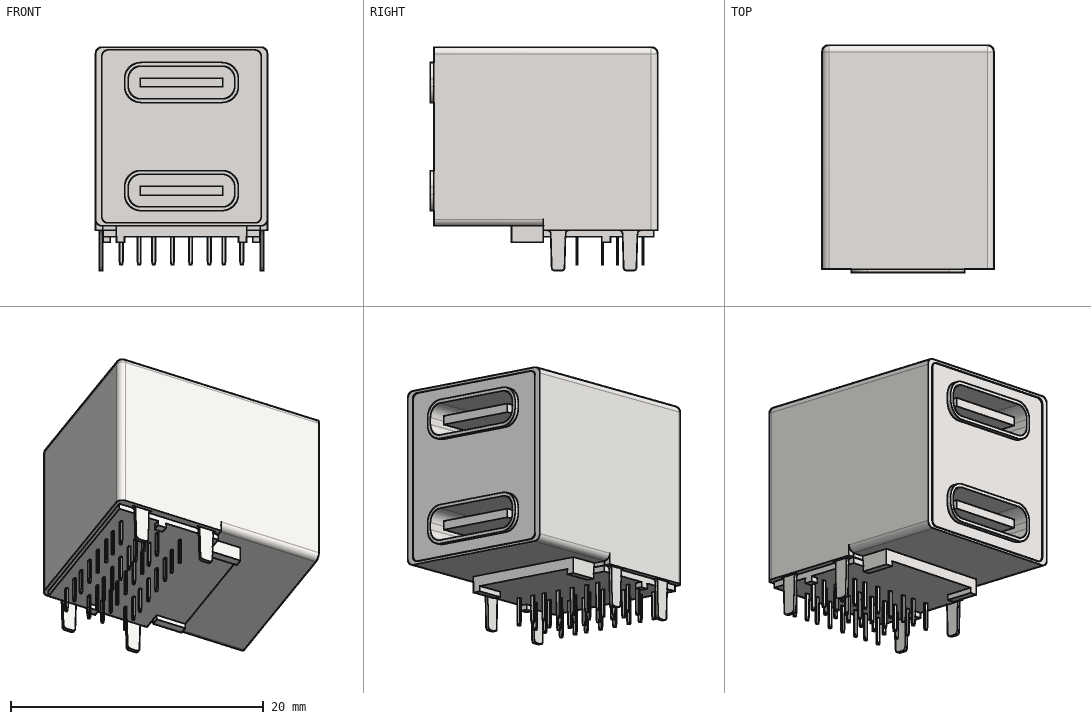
import cadquery as cq
import math


total_length = 18.0
port_lip = 0.29
shell_width = 13.6
shell_length = total_length - port_lip
shell_top = 15.45
shell_front_bottom = 1.3
shell_rear_bottom = 0.94
rear_drop_start = 8.65
shell_radius = 0.54
rear_wall_half = 6.23
rear_wall_recess = 0.07

panel_side_rim = 0.5
panel_end_rim = 0.23
panel_recess = 0.09
panel_radius = 0.49

port_pitch = 8.55
upper_port_z = 12.64
port_centers = [upper_port_z, upper_port_z - port_pitch]
port_width = 9.0
port_height = 3.17
port_radius = 1.3
port_wall = 0.29
cavity_depth = 5.94
tongue_width = 6.55
tongue_height = 0.7
tongue_front = 0.23

plate_bottom = 0.43
plate_rear_gap = 0.3
front_foot_start = 6.14
front_block_half = 5.15
front_foot_width = 0.65
side_foot_width = 0.61
side_foot_length = 0.72
side_foot_rear = shell_length - 3.73

leg_outer_half = 6.5
leg_thickness = 0.25
leg_bottom = -2.25
leg_top_width = 1.19
leg_tip_width = 1.03
leg_flare_radius = 0.23
leg_tip_radius = 0.27
leg_centers = [shell_length - 2.2, shell_length - 7.88]

pin_bottom = -1.78
pin_width = 0.29
pin_thickness = 0.15
pin_tip_width = 0.18
pin_tip_height = 0.29
pin_columns = [0.72, 2.2, 3.35, 4.77]
pin_rows = [shell_length - distance for distance in (1.17, 3.19, 4.37, 6.39)]


def box(x_range, y_range, z_range):
    """Box spanning the given (low, high) ranges."""
    lows, highs = zip(x_range, y_range, z_range)
    sizes = [high - low for low, high in zip(lows, highs)]
    return cq.Workplane("XY").box(*sizes, centered=False).translate(lows)


def rounded_bar(width, height, radius, y_range, z_center):
    """Bar along Y with a rounded rectangular section, centred on X = 0."""
    y_low, y_high = y_range
    bar = cq.Workplane("XY").box(width, y_high - y_low, height).edges("|Y").fillet(radius)
    return bar.translate((0, (y_low + y_high) / 2, z_center))


def make_shell():
    half = shell_width / 2
    front = box((-half, half), (0, rear_drop_start), (shell_front_bottom, shell_top))
    front = front.edges("|Y").fillet(shell_radius)
    rear = box((-half, half), (rear_drop_start, shell_length), (shell_rear_bottom, shell_top))
    rear = rear.edges(">Z and |Y").fillet(shell_radius)
    rear = rear.edges(">Y").edges("not <Z").fillet(shell_radius)

    wall_recess = box(
        (-rear_wall_half, rear_wall_half),
        (rear_drop_start, rear_drop_start + rear_wall_recess),
        (shell_rear_bottom, shell_front_bottom),
    )
    shell = front.union(rear).cut(wall_recess)

    panel_height = shell_top - shell_front_bottom - 2 * panel_end_rim
    panel = rounded_bar(
        shell_width - 2 * panel_side_rim,
        panel_height,
        panel_radius,
        (0, panel_recess),
        (shell_top + shell_front_bottom) / 2,
    )
    return shell.cut(panel)


def add_port(body, z_center):
    """Raised lip with a cavity that holds a flat contact tongue."""
    lip = rounded_bar(port_width, port_height, port_radius, (-port_lip, cavity_depth), z_center)
    cavity = rounded_bar(
        port_width - 2 * port_wall,
        port_height - 2 * port_wall,
        port_radius - port_wall,
        (-port_lip, cavity_depth),
        z_center,
    )
    tongue = box(
        (-tongue_width / 2, tongue_width / 2),
        (tongue_front, cavity_depth),
        (z_center - tongue_height / 2, z_center + tongue_height / 2),
    )
    return body.union(lip).cut(cavity).union(tongue)


def make_base():
    """Base plate, the front block below the shell step and the four feet."""
    base = box(
        (-rear_wall_half, rear_wall_half),
        (rear_drop_start, shell_length - plate_rear_gap),
        (plate_bottom, shell_rear_bottom),
    )
    front_block = box(
        (-front_block_half, front_block_half),
        (front_foot_start, rear_drop_start + rear_wall_recess),
        (plate_bottom, shell_front_bottom),
    )
    base = base.union(front_block)
    front_foot = box(
        (-front_block_half, front_foot_width - front_block_half),
        (front_foot_start, rear_drop_start),
        (0, plate_bottom),
    )
    side_foot = box(
        (-rear_wall_half, side_foot_width - rear_wall_half),
        (side_foot_rear - side_foot_length, side_foot_rear),
        (0, plate_bottom),
    )
    for foot in (front_foot, side_foot):
        base = base.union(foot).union(foot.mirror("YZ"))
    return base


def make_leg(y_center):
    """Tapered leg on the -X side, flared into the shell and rounded at its tip."""
    half_top = leg_top_width / 2
    half_tip = leg_tip_width / 2
    flare_half = half_top + leg_flare_radius
    flare_bottom = shell_rear_bottom - leg_flare_radius
    flare_inset = leg_flare_radius * (1 - math.sqrt(0.5))
    leg = (
        cq.Workplane("YZ")
        .moveTo(-flare_half, shell_rear_bottom)
        .threePointArc(
            (-half_top - flare_inset, shell_rear_bottom - flare_inset),
            (-half_top, flare_bottom),
        )
        .lineTo(-half_tip, leg_bottom)
        .lineTo(half_tip, leg_bottom)
        .lineTo(half_top, flare_bottom)
        .threePointArc(
            (half_top + flare_inset, shell_rear_bottom - flare_inset),
            (flare_half, shell_rear_bottom),
        )
        .close()
        .extrude(leg_thickness)
        .faces("<Z")
        .edges("|X")
        .fillet(leg_tip_radius)
    )
    return leg.translate((-leg_outer_half, y_center, 0))


def make_pin(x_center, y_center):
    """Flat pin below the base plate, narrowing in width at its tip."""
    half = pin_width / 2
    half_tip = pin_tip_width / 2
    tip_start = pin_bottom + pin_tip_height
    outline = [
        (-half, plate_bottom),
        (-half, tip_start),
        (-half_tip, pin_bottom),
        (half_tip, pin_bottom),
        (half, tip_start),
        (half, plate_bottom),
    ]
    pin = cq.Workplane("XZ").polyline(outline).close().extrude(pin_thickness / 2, both=True)
    return pin.translate((x_center, y_center, 0))


body = make_shell()
for port_center in port_centers:
    body = add_port(body, port_center)
body = body.union(make_base())

for leg_center in leg_centers:
    leg = make_leg(leg_center)
    body = body.union(leg).union(leg.mirror("YZ"))

for pin_row in pin_rows:
    for pin_column in pin_columns:
        pin = make_pin(-pin_column, pin_row)
        body = body.union(pin).union(pin.mirror("YZ"))

result = body